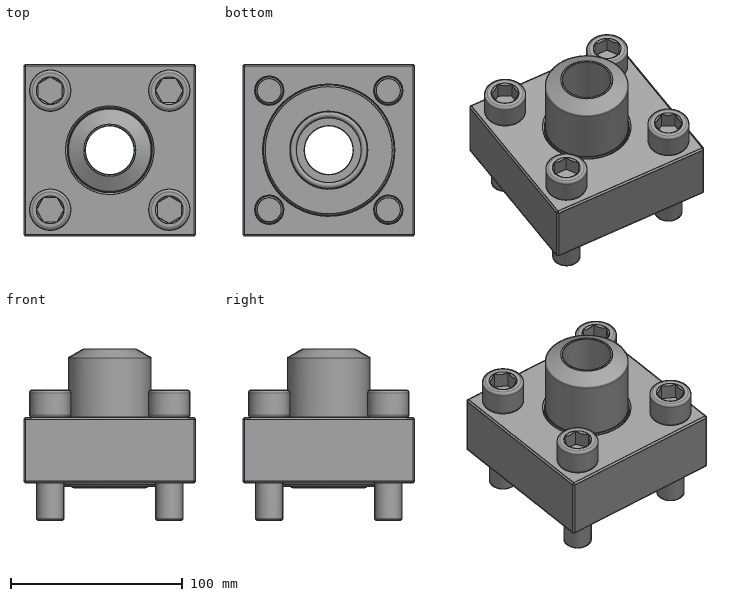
import cadquery as cq
import math

FLANGE_SIDE = 100.0
FLANGE_THICKNESS = 38.0
FLANGE_CHAMFER = 1.0

BOLT_CIRCLE_DIAMETER = 98.0
SCREW_DIAMETER = 16.0
SCREW_LENGTH = 60.0
SCREW_TIP_CHAMFER = 1.0
SCREW_CLEARANCE_DIAMETER = 17.0
HEAD_DIAMETER = 24.0
HEAD_HEIGHT = SCREW_DIAMETER
HEAD_FILLET = 1.6
HEX_ACROSS_FLATS = 14.0
HEX_ACROSS_CORNERS = HEX_ACROSS_FLATS / math.cos(math.radians(30))
HEX_DEPTH = 10.0
HEX_LEAD_IN_ANGLE = 45.0

OVERALL_HEIGHT = 100.0
PIPE_DIAMETER = 48.3
BORE_DIAMETER = 28.3
BEVEL_ANGLE = 30.0
BEVEL_LAND = 1.0
BEVEL_FILLET = 0.6
NECK_DIAMETER = 49.0
NECK_PROTRUSION = 0.3
COLLAR_DIAMETER = 76.0
COLLAR_HEIGHT = 20.0
COLLAR_PROTRUSION = 2.0
COLLAR_CHAMFER = 1.0

PIPE_HOLE_DIAMETER = 49.5
PIPE_HOLE_CHAMFER = 1.0
COUNTERBORE_DIAMETER = 77.0

RING_INNER_DIAMETER = 37.7
RING_SECTION_DIAMETER = 3.53
RING_PROTRUSION = 0.9
GROOVE_OUTER_DIAMETER = 45.47
GROOVE_DEPTH = RING_SECTION_DIAMETER - RING_PROTRUSION

FLANGE_TOP = SCREW_LENGTH
FLANGE_BOTTOM = FLANGE_TOP - FLANGE_THICKNESS
COLLAR_BOTTOM = FLANGE_BOTTOM - COLLAR_PROTRUSION
COLLAR_TOP = COLLAR_BOTTOM + COLLAR_HEIGHT
NECK_TOP = FLANGE_TOP + NECK_PROTRUSION
HEAD_TOP = FLANGE_TOP + HEAD_HEIGHT

SCREW_ANGLES = [45, 135, 225, 315]


def cylinder(diameter, bottom, top):
    """Vertical cylinder on the Z axis between two levels."""
    return cq.Workplane("XY").workplane(offset=bottom).circle(diameter / 2).extrude(top - bottom)


def revolve_profile(points):
    """Solid of revolution about Z from (radius, level) points."""
    return cq.Workplane("XZ").polyline(points).close().revolve(360, (0, 0), (0, 1))


def make_flange():
    block = (
        cq.Workplane("XY")
        .workplane(offset=FLANGE_BOTTOM)
        .rect(FLANGE_SIDE, FLANGE_SIDE)
        .extrude(FLANGE_THICKNESS)
        .edges()
        .chamfer(FLANGE_CHAMFER)
    )
    pipe_hole = cylinder(PIPE_HOLE_DIAMETER, FLANGE_BOTTOM, FLANGE_TOP)
    counterbore = cylinder(COUNTERBORE_DIAMETER, FLANGE_BOTTOM, COLLAR_TOP)
    hole_radius = PIPE_HOLE_DIAMETER / 2
    hole_chamfer = revolve_profile([
        (0, FLANGE_TOP - PIPE_HOLE_CHAMFER),
        (hole_radius, FLANGE_TOP - PIPE_HOLE_CHAMFER),
        (hole_radius + PIPE_HOLE_CHAMFER, FLANGE_TOP),
        (0, FLANGE_TOP),
    ])
    screw_holes = (
        cq.Workplane("XY")
        .workplane(offset=FLANGE_BOTTOM)
        .polarArray(BOLT_CIRCLE_DIAMETER / 2, SCREW_ANGLES[0], 360, len(SCREW_ANGLES))
        .circle(SCREW_CLEARANCE_DIAMETER / 2)
        .extrude(FLANGE_THICKNESS)
    )
    return block.cut(pipe_hole).cut(counterbore).cut(hole_chamfer).cut(screw_holes)


def make_weld_stub():
    bore_radius = BORE_DIAMETER / 2
    pipe_radius = PIPE_DIAMETER / 2
    collar_radius = COLLAR_DIAMETER / 2
    neck_radius = NECK_DIAMETER / 2
    bevel_top_radius = bore_radius + BEVEL_LAND
    bevel_height = (pipe_radius - bevel_top_radius) * math.tan(math.radians(BEVEL_ANGLE))
    bevel_base = OVERALL_HEIGHT - bevel_height
    body = revolve_profile([
        (bore_radius, COLLAR_BOTTOM),
        (collar_radius - COLLAR_CHAMFER, COLLAR_BOTTOM),
        (collar_radius, COLLAR_BOTTOM + COLLAR_CHAMFER),
        (collar_radius, COLLAR_TOP),
        (neck_radius, COLLAR_TOP),
        (neck_radius, NECK_TOP),
        (pipe_radius, NECK_TOP),
        (pipe_radius, bevel_base),
        (bevel_top_radius, OVERALL_HEIGHT),
        (bore_radius, OVERALL_HEIGHT),
    ])
    bevel_edge = cq.selectors.BoxSelector(
        (-PIPE_DIAMETER, -PIPE_DIAMETER, bevel_base - BEVEL_FILLET),
        (PIPE_DIAMETER, PIPE_DIAMETER, bevel_base + BEVEL_FILLET),
        boundingbox=True,
    )
    body = body.edges(bevel_edge).fillet(BEVEL_FILLET)
    groove_top = COLLAR_BOTTOM + GROOVE_DEPTH
    groove = cylinder(GROOVE_OUTER_DIAMETER, COLLAR_BOTTOM, groove_top).cut(
        cylinder(RING_INNER_DIAMETER, COLLAR_BOTTOM, groove_top)
    )
    return body.cut(groove)


def make_o_ring():
    section_radius = RING_SECTION_DIAMETER / 2
    centre_radius = RING_INNER_DIAMETER / 2 + section_radius
    centre_level = COLLAR_BOTTOM - RING_PROTRUSION + section_radius
    return (
        cq.Workplane("XZ")
        .center(centre_radius, centre_level)
        .circle(section_radius)
        .revolve(360, (-centre_radius, 0), (-centre_radius, 1))
    )


def make_screw():
    """Socket head screw on the Z axis, hexagon corners along X."""
    head = cylinder(HEAD_DIAMETER, FLANGE_TOP, HEAD_TOP).edges().fillet(HEAD_FILLET)
    shank = cylinder(SCREW_DIAMETER, 0, FLANGE_TOP).faces("<Z").chamfer(SCREW_TIP_CHAMFER)
    socket = (
        cq.Workplane("XY")
        .workplane(offset=HEAD_TOP - HEX_DEPTH)
        .polygon(6, HEX_ACROSS_CORNERS)
        .extrude(HEX_DEPTH)
    )
    lead_in_radius = HEX_ACROSS_CORNERS / 2
    lead_in_depth = lead_in_radius * math.tan(math.radians(HEX_LEAD_IN_ANGLE))
    lead_in = revolve_profile([
        (0, HEAD_TOP - lead_in_depth),
        (lead_in_radius, HEAD_TOP),
        (0, HEAD_TOP),
    ])
    return head.union(shank).cut(socket).cut(lead_in)


def make_screws():
    """Screws around the bolt circle, each turned a further quarter turn."""
    first = make_screw()
    offset = BOLT_CIRCLE_DIAMETER / 2 * math.cos(math.radians(SCREW_ANGLES[0]))
    placed = first.translate((offset, offset, 0))
    return [
        placed.rotate((0, 0, 0), (0, 0, 1), angle - SCREW_ANGLES[0])
        for angle in SCREW_ANGLES
    ]


flange = make_flange()
weld_stub = make_weld_stub()
o_ring = make_o_ring()
screws = make_screws()

result = cq.Compound.makeCompound([
    flange.val(),
    weld_stub.val(),
    o_ring.val(),
    *[screw.val() for screw in screws],
])